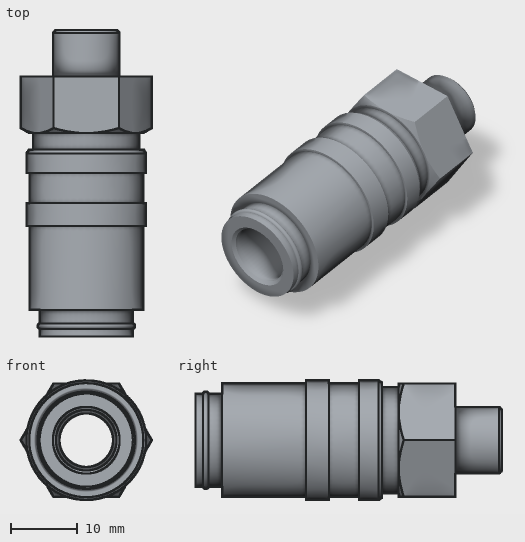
import cadquery as cq
import math

LENGTH = 46.0

NOSE_RADIUS = 7.0
SLEEVE_RADIUS = 8.55
COLLAR_RADIUS = 8.995
NECK_RADIUS = 8.0
SPIGOT_RADIUS = 5.0

NOSE_END = 4.0
FRONT_COLLAR_START = 16.55
FRONT_COLLAR_END = 20.0
REAR_COLLAR_START = 24.5
REAR_COLLAR_END = 28.0
HEX_START = 30.5
HEX_END = 39.0

SPIGOT_CHAMFER = 0.45
COLLAR_BEVEL_LENGTH = 0.55
COLLAR_BEVEL_DEPTH = 0.35

HEX_ACROSS_FLATS = 17.0
HEX_ACROSS_CORNERS = HEX_ACROSS_FLATS / math.cos(math.radians(30))
HEX_BEVEL_ANGLE = 30.0

RING_POSITION = 1.55
RING_WIRE_RADIUS = 0.4
RING_OUTER_RADIUS = 7.3

SOCKET_RADIUS = 4.55
SOCKET_DEPTH = 18.4
SOCKET_CHAMFER = 0.45
PASSAGE_RADIUS = 4.0


def revolve_about_y(profile):
    """Turn a closed XY profile a full revolution about the Y axis."""
    return profile.revolve(360, (0, 0, 0), (0, 1, 0))


def cylinder(radius, start, end):
    """Cylinder along Y between two positions."""
    return cq.Workplane("XZ", origin=(0, start, 0)).circle(radius).extrude(start - end)


def rear_collar():
    collar = cylinder(COLLAR_RADIUS, REAR_COLLAR_START, REAR_COLLAR_END)
    return collar.faces(">Y").chamfer(COLLAR_BEVEL_LENGTH, COLLAR_BEVEL_DEPTH)


def spigot():
    return cylinder(SPIGOT_RADIUS, HEX_END, LENGTH).faces(">Y").chamfer(SPIGOT_CHAMFER)


def hexagon():
    """Hexagonal section whose front corners are trimmed by a cone touching the flats."""
    prism = (
        cq.Workplane("XZ", origin=(0, HEX_START, 0))
        .polygon(6, HEX_ACROSS_CORNERS)
        .extrude(HEX_START - HEX_END)
    )
    inner = HEX_ACROSS_FLATS / 2
    outer = HEX_ACROSS_CORNERS
    bevel_length = (outer - inner) * math.tan(math.radians(HEX_BEVEL_ANGLE))
    cone = revolve_about_y(
        cq.Workplane("XY").polyline(
            [
                (0, HEX_START),
                (inner, HEX_START),
                (outer, HEX_START + bevel_length),
                (outer, HEX_END),
                (0, HEX_END),
            ]
        ).close()
    )
    return prism.intersect(cone)


def wire_ring():
    center_radius = RING_OUTER_RADIUS - RING_WIRE_RADIUS
    section = cq.Workplane("XY").moveTo(center_radius, RING_POSITION).circle(RING_WIRE_RADIUS)
    return revolve_about_y(section)


def bore():
    """Through passage opening into a wider socket with a chamfered mouth."""
    return revolve_about_y(
        cq.Workplane("XY").polyline(
            [
                (0, 0),
                (SOCKET_RADIUS + SOCKET_CHAMFER, 0),
                (SOCKET_RADIUS, SOCKET_CHAMFER),
                (SOCKET_RADIUS, SOCKET_DEPTH),
                (PASSAGE_RADIUS, SOCKET_DEPTH),
                (PASSAGE_RADIUS, LENGTH),
                (0, LENGTH),
            ]
        ).close()
    )


body = cylinder(NOSE_RADIUS, 0, NOSE_END)
body = body.union(cylinder(SLEEVE_RADIUS, NOSE_END, REAR_COLLAR_START))
body = body.union(cylinder(COLLAR_RADIUS, FRONT_COLLAR_START, FRONT_COLLAR_END))
body = body.union(rear_collar())
body = body.union(cylinder(NECK_RADIUS, REAR_COLLAR_END, HEX_START))
body = body.union(hexagon())
body = body.union(spigot())
body = body.union(wire_ring())

result = body.cut(bore())